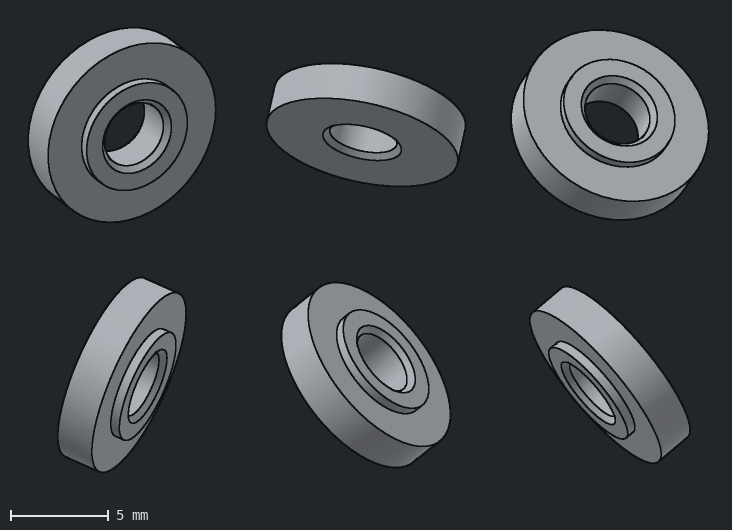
import cadquery as cq

flange_diameter = 10
flange_thickness = 2
hub_diameter = 6
hub_length = 0.5
bore_diameter = 3.5
bore_chamfer = 0.3

total_length = flange_thickness + hub_length

flange = cq.Workplane("YZ").circle(flange_diameter / 2).extrude(flange_thickness)
hub = cq.Workplane("YZ").circle(hub_diameter / 2).extrude(total_length)
body = flange.union(hub)

bore = cq.Workplane("YZ").circle(bore_diameter / 2).extrude(total_length)
bored_body = body.cut(bore)
bore_mouths = cq.selectors.RadiusNthSelector(0)
result = bored_body.faces("<X or >X").edges(bore_mouths).chamfer(bore_chamfer)